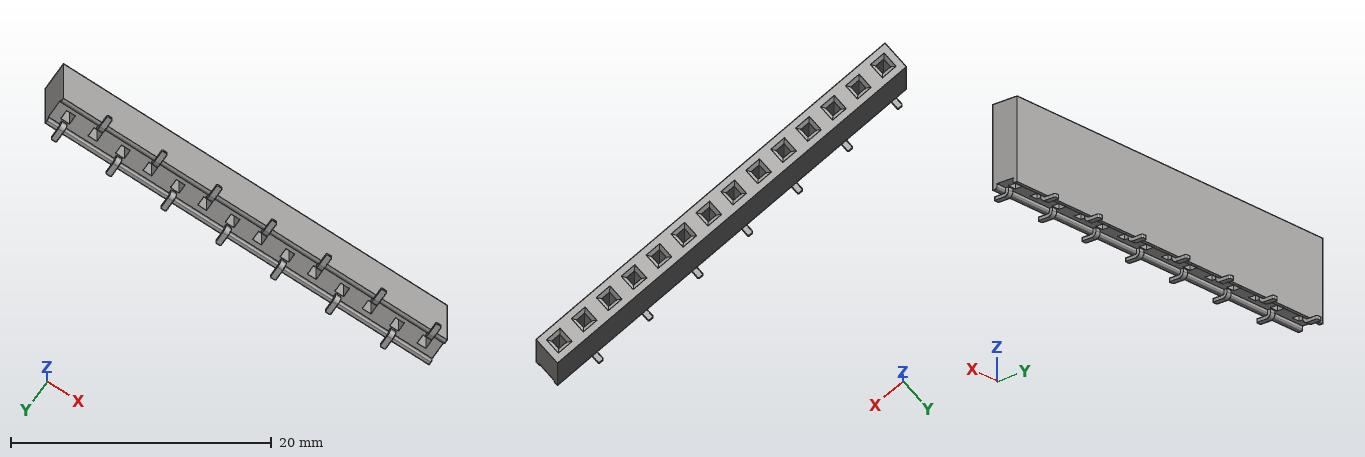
import cadquery as cq

body_length = 35.55
contact_count = 14
pitch = body_length / contact_count
body_width = 2.5
total_height = 7.5

lead_thickness = 0.3
lead_width = 0.5
lead_span = 4.0
tip_radius = 0.1
inner_bend_radius = 0.16
outer_bend_radius = inner_bend_radius + lead_thickness

groove_width = 1.65
groove_depth = 0.43
body_bottom = lead_thickness
groove_top = body_bottom + groove_depth

mouth_size = 1.4
mouth_depth = 0.29
hole_size = mouth_size - 2 * mouth_depth


def make_housing():
    """Long block with a groove whose lower lips are rounded to fit the lead bends."""
    half_width = body_width / 2
    half_groove = groove_width / 2
    lip_radius = inner_bend_radius
    lip_start = half_groove + lip_radius
    lip_top = body_bottom + lip_radius
    profile = (
        cq.Workplane("YZ")
        .moveTo(-half_width, total_height)
        .lineTo(-half_width, body_bottom)
        .lineTo(-lip_start, body_bottom)
        .radiusArc((-half_groove, lip_top), -lip_radius)
        .lineTo(-half_groove, groove_top)
        .lineTo(half_groove, groove_top)
        .lineTo(half_groove, lip_top)
        .radiusArc((lip_start, body_bottom), -lip_radius)
        .lineTo(half_width, body_bottom)
        .lineTo(half_width, total_height)
        .close()
    )
    return profile.extrude(body_length / 2, both=True)


def make_socket(x):
    """Cutter for one socket: square hole plus its tapered mouth."""
    hole = cq.Workplane("XY").center(x, 0).rect(hole_size, hole_size).extrude(total_height)
    mouth = (
        cq.Workplane("XY", origin=(x, 0, total_height - mouth_depth))
        .rect(hole_size, hole_size)
        .workplane(offset=mouth_depth)
        .rect(mouth_size, mouth_size)
        .loft(combine=True)
    )
    return hole.union(mouth)


def make_lead(x, side):
    """Lead at position x whose foot points toward +Y (side = 1) or -Y (side = -1)."""
    outer_face = groove_width / 2
    inner_face = outer_face - lead_thickness
    bend_y = outer_face + inner_bend_radius
    bend_z = lead_thickness + inner_bend_radius
    tip = lead_span / 2
    lead = (
        cq.Workplane("YZ")
        .moveTo(inner_face, groove_top)
        .lineTo(inner_face, bend_z)
        .radiusArc((bend_y, 0), -outer_bend_radius)
        .lineTo(tip, 0)
        .lineTo(tip, lead_thickness)
        .lineTo(bend_y, lead_thickness)
        .radiusArc((outer_face, bend_z), inner_bend_radius)
        .lineTo(outer_face, groove_top)
        .close()
        .extrude(lead_width / 2, both=True)
    )
    lead = lead.faces(">Y").edges("|Z").fillet(tip_radius)
    if side < 0:
        lead = lead.mirror("XZ")
    return lead.translate((x, 0, 0))


result = make_housing()
for index in range(contact_count):
    contact_x = (index + 0.5) * pitch - body_length / 2
    foot_side = 1 if index % 2 == 0 else -1
    result = result.cut(make_socket(contact_x))
    result = result.union(make_lead(contact_x, foot_side))